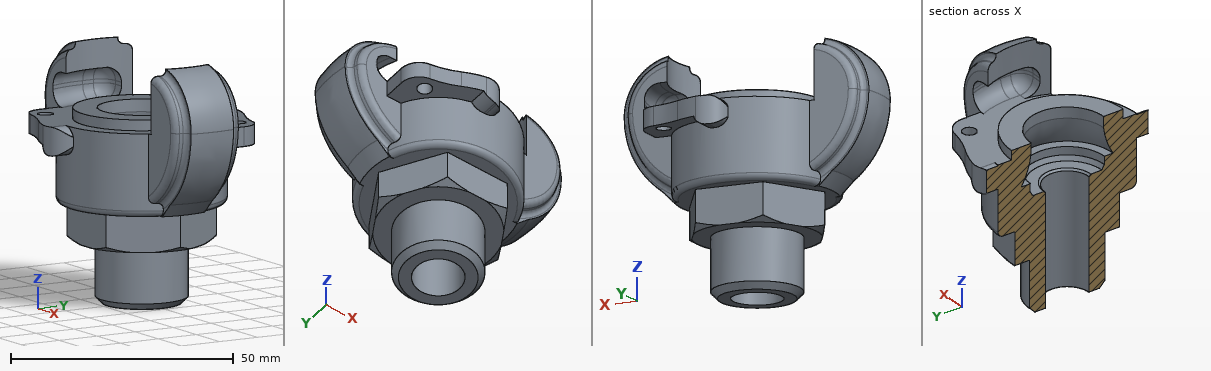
import cadquery as cq
import math

thread_chamfer = 1.55
hex_bottom = 14.05
body_bottom = 22.9
body_top = 42.0
face_top = 44.5

thread_diameter = 21.0
hex_across_flats = 29.1
hex_chamfer_diameter = 29.45
hex_chamfer_angle = 30
body_radius = 19.25
body_edge_fillet = 1.5
face_diameter = 31.0

mouth_radius = 20.0 / 2
mouth_bottom = 41.6
seal_flare_mid = (10.9, 37.7)
seal_floor_radius = 12.6
seal_floor = 34.05
seat_radius = 20.5 / 2
seat_cone_top = 31.9
seat_cone_bottom = 30.7
seat_floor_radius = 9.55
bore_radius = 12.0 / 2
bore_chamfer = 0.5

arm_reach = 30.95
arm_widest_z = 43.75
rib_half_width = 5.6
cheek_half_width = 8.7
cheek_step = 1.5
cheek_fillet = 1.75
cheek_cove = 1.35
upper_arc_radius = 13.35
lower_arc_radius = 21.9
arm_clearance_radius = 20.25
heel_top_z = 26.1
heel_mid = (20.3, 24.4)
heel_bottom_radius = 18.8

pocket_path_radius = 21.85
pocket_wall_radius = 3.6
pocket_top = 50.05
pocket_end_y = 6.4

lug_bottom = 37.5
lug_side_x = 21.05
lug_corner_radius = 5.1
lug_corner = (lug_corner_radius - lug_side_x, -14.0)
lug_corner_end_angle = 8.8
lug_hollow_end = (-9.65, -21.3)
lug_span = 47.0
nose_radius = 4.95
nose_center = (-3.0, nose_radius - lug_span / 2)
nose_blend_angle = 14.0
nose_roll_x = -1.2
nose_roll_radius = 6.6 / 2
nose_roll_flat = 0.5
lug_hole_diameter = 3.5
lug_hole_offset = 15.7


def cylinder(radius, bottom, top):
    return cq.Workplane("XY").workplane(offset=bottom).circle(radius).extrude(top - bottom)


def box(x_range, y_range, z_range):
    return cq.Workplane("XY").box(
        x_range[1] - x_range[0], y_range[1] - y_range[0], z_range[1] - z_range[0], centered=False
    ).translate((x_range[0], y_range[0], z_range[0]))


def half_turn(shape):
    return shape.rotate((0, 0, 0), (0, 0, 1), 180)


def revolve_about_z(profile):
    return profile.close().revolve(360, (0, 0, 0), (0, 1, 0))


def make_core():
    stem = cylinder(thread_diameter / 2, 0, hex_bottom).faces("<Z").chamfer(thread_chamfer)

    hex_height = body_bottom - hex_bottom
    hex_corner_radius = hex_across_flats / math.sqrt(3)
    hexagon = (
        cq.Workplane("XY").workplane(offset=hex_bottom)
        .polygon(6, 2 * hex_corner_radius).extrude(hex_height)
    )
    chamfer_radius = hex_chamfer_diameter / 2
    cone_radius = chamfer_radius + hex_height / math.tan(math.radians(hex_chamfer_angle))
    cone = revolve_about_z(
        cq.Workplane("XZ").moveTo(0, hex_bottom).lineTo(chamfer_radius, hex_bottom)
        .lineTo(cone_radius, body_bottom).lineTo(0, body_bottom)
    )
    body = cylinder(body_radius, body_bottom, body_top).faces("<Z").edges().fillet(body_edge_fillet)
    face = cylinder(face_diameter / 2, body_top, face_top)
    return stem.union(hexagon.intersect(cone)).union(body).union(face)


def make_bore():
    return revolve_about_z(
        cq.Workplane("XZ")
        .moveTo(0, face_top).lineTo(mouth_radius, face_top).lineTo(mouth_radius, mouth_bottom)
        .threePointArc(seal_flare_mid, (seal_floor_radius, seal_floor))
        .lineTo(seat_radius, seal_floor).lineTo(seat_radius, seat_cone_top)
        .lineTo(seat_floor_radius, seat_cone_bottom)
        .lineTo(bore_radius + bore_chamfer, seat_cone_bottom)
        .lineTo(bore_radius, seat_cone_bottom - bore_chamfer)
        .lineTo(bore_radius, 0).lineTo(0, 0)
    )


def arm_ring(step, half_width, has_heel):
    """Right half of a revolved claw ring, `step` inside the rib surface, cut to a slab."""
    upper_center = arm_reach - upper_arc_radius
    lower_center = arm_reach - lower_arc_radius
    inner_radius = upper_center
    upper_radius = upper_arc_radius - step
    lower_radius = lower_arc_radius - step

    def on_upper(angle):
        return (upper_center + upper_radius * math.cos(angle), arm_widest_z + upper_radius * math.sin(angle))

    def on_lower(angle):
        return (lower_center + lower_radius * math.cos(angle), arm_widest_z - lower_radius * math.sin(angle))

    if has_heel:
        lower_angle = math.asin((arm_widest_z - heel_top_z) / lower_radius)
    else:
        lower_angle = math.acos((inner_radius - lower_center) / lower_radius)
    profile = (
        cq.Workplane("XZ").moveTo(*on_upper(math.pi / 2))
        .threePointArc(on_upper(math.pi / 4), on_upper(0))
        .threePointArc(on_lower(lower_angle / 2), on_lower(lower_angle))
    )
    if has_heel:
        profile = (
            profile.threePointArc(heel_mid, (heel_bottom_radius, body_bottom))
            .lineTo(inner_radius, body_bottom)
        )
    slab = box((0, arm_reach), (-half_width, half_width), (0, 2 * arm_widest_z))
    return revolve_about_z(profile).intersect(slab)


def pocket_section(inner_x, plane):
    """Upright section of the pocket: round at its outer corners, straight on the side facing the axis."""
    lower_z = body_top + pocket_wall_radius
    upper_z = pocket_top - pocket_wall_radius
    outer_x = pocket_path_radius + pocket_wall_radius
    diagonal = pocket_wall_radius * math.sqrt(0.5)
    section = plane.moveTo(inner_x, body_top)
    if inner_x < pocket_path_radius:
        section = section.lineTo(pocket_path_radius, body_top)
    section = (
        section.threePointArc((pocket_path_radius + diagonal, lower_z - diagonal), (outer_x, lower_z))
        .lineTo(outer_x, upper_z)
        .threePointArc((pocket_path_radius + diagonal, upper_z + diagonal), (pocket_path_radius, pocket_top))
    )
    if inner_x < pocket_path_radius:
        section = section.lineTo(inner_x, pocket_top)
    return section.close()


def cut_pocket(arm):
    """Cut the mating lug's pocket: a channel round the axis, open at +Y and turning inwards at -Y."""
    turn_y = pocket_wall_radius - pocket_end_y
    turn_axis = ((pocket_path_radius, turn_y, 0), (pocket_path_radius, turn_y, 1))
    middle_plane = cq.Workplane("XZ")
    turn_plane = cq.Workplane("XZ", origin=(0, turn_y, 0))

    curved = pocket_section(0, middle_plane).revolve(180, (0, 0, 0), (0, 1, 0))
    straight = pocket_section(0, middle_plane).extrude(-turn_y)
    corner = pocket_section(pocket_path_radius, turn_plane).revolve(
        90, (pocket_path_radius, 0, 0), (pocket_path_radius, -1, 0)
    )
    end_wall = pocket_section(pocket_path_radius, turn_plane).extrude(pocket_path_radius)
    end_wall = end_wall.rotate(*turn_axis, -90)
    return arm.cut(curved).cut(straight).cut(corner).cut(end_wall)


def make_arm():
    """Right claw arm: a rib with rounded cheeks, coved where they meet, and a pocket."""
    cheeks = arm_ring(cheek_step, cheek_half_width, False)
    cheeks = cheeks.faces("|Y").edges("%BSPLINE").fillet(cheek_fillet)
    arm = cheeks.union(arm_ring(0, rib_half_width, True))

    root_lines = arm_ring(cheek_step, rib_half_width, False).faces("|Y").edges("%BSPLINE").vals()
    root_edges = [arm.edges(cq.NearestToPointSelector(line.Center().toTuple())).val() for line in root_lines]
    arm = arm.newObject(root_edges).fillet(cheek_cove)

    clearance = cylinder(arm_clearance_radius, body_top, 2 * body_top)
    return cut_pocket(arm.cut(clearance))


def make_lug():
    """Lug on the -X, -Y side: a plate with a corner hole and a nose rolled about an axis along Y."""
    def on_arc(center, radius, degrees):
        angle = math.radians(degrees)
        return (center[0] + radius * math.cos(angle), center[1] + radius * math.sin(angle))

    corner_end_angle = 270 - lug_corner_end_angle
    nose_start_angle = 270 - nose_blend_angle
    nose_tip_x = nose_center[0] + nose_radius
    outline = (
        cq.Workplane("XY").moveTo(-lug_side_x, -cheek_half_width).lineTo(-lug_side_x, lug_corner[1])
        .threePointArc(
            on_arc(lug_corner, lug_corner_radius, (180 + corner_end_angle) / 2),
            on_arc(lug_corner, lug_corner_radius, corner_end_angle),
        )
        .tangentArcPoint(lug_hollow_end, relative=False)
        .tangentArcPoint(on_arc(nose_center, nose_radius, nose_start_angle), relative=False)
        .threePointArc(
            on_arc(nose_center, nose_radius, (nose_start_angle + 360) / 2), (nose_tip_x, nose_center[1])
        )
        .lineTo(nose_tip_x, -cheek_half_width).close()
        .extrude(body_top)
    )
    roll = (
        cq.Workplane("XZ").center(nose_roll_x - nose_roll_flat / 2, body_top - nose_roll_radius)
        .slot2D(nose_roll_flat + 2 * nose_roll_radius, 2 * nose_roll_radius).extrude(arm_reach)
    )
    plate = box((-lug_side_x, nose_roll_x), (-arm_reach, 0), (lug_bottom, body_top))
    hole = cylinder(lug_hole_diameter / 2, 0, body_top).translate((-lug_hole_offset, -lug_hole_offset, 0))
    return outline.intersect(plate.union(roll)).cut(hole)


arm = make_arm()
lug = make_lug()
coupling = make_core()
for feature in (arm, half_turn(arm), lug, half_turn(lug)):
    coupling = coupling.union(feature)
result = coupling.cut(make_bore())